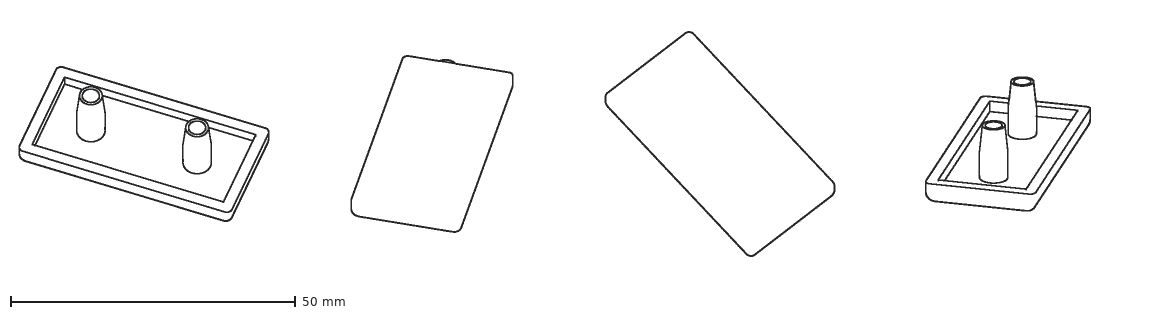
import cadquery as cq

length = 40.0
width = 20.0
tray_height = 4.0
wall = 2.0
floor_thickness = 2.0
corner_radius = 1.0
bottom_radius = 2.0

total_height = 12.0
post_spacing = 20.0
post_diameter = 5.0
post_tip_diameter = 4.0
bore_diameter = 3.0
taper_height = 5.0
taper_start = total_height - taper_height


def make_tray():
    """Open tray with rounded corners and a rounded underside."""
    body = (
        cq.Workplane("XY")
        .box(length, width, tray_height, centered=(True, True, False))
        .edges("|Z")
        .fillet(corner_radius)
        .faces("<Z")
        .edges()
        .fillet(bottom_radius)
    )
    pocket = (
        cq.Workplane("XY")
        .workplane(offset=floor_thickness)
        .rect(length - 2 * wall, width - 2 * wall)
        .extrude(tray_height - floor_thickness)
    )
    return body.cut(pocket)


def make_post(x):
    """Post with a tapered tip and a bore reaching down to the tray floor."""
    profile = [
        (bore_diameter / 2, floor_thickness),
        (post_diameter / 2, floor_thickness),
        (post_diameter / 2, taper_start),
        (post_tip_diameter / 2, total_height),
        (bore_diameter / 2, total_height),
    ]
    post = cq.Workplane("XZ").polyline(profile).close().revolve(360, (0, 0, 0), (0, 1, 0))
    return post.translate((x, 0, 0))


result = make_tray()
for post_x in (-post_spacing / 2, post_spacing / 2):
    result = result.union(make_post(post_x))